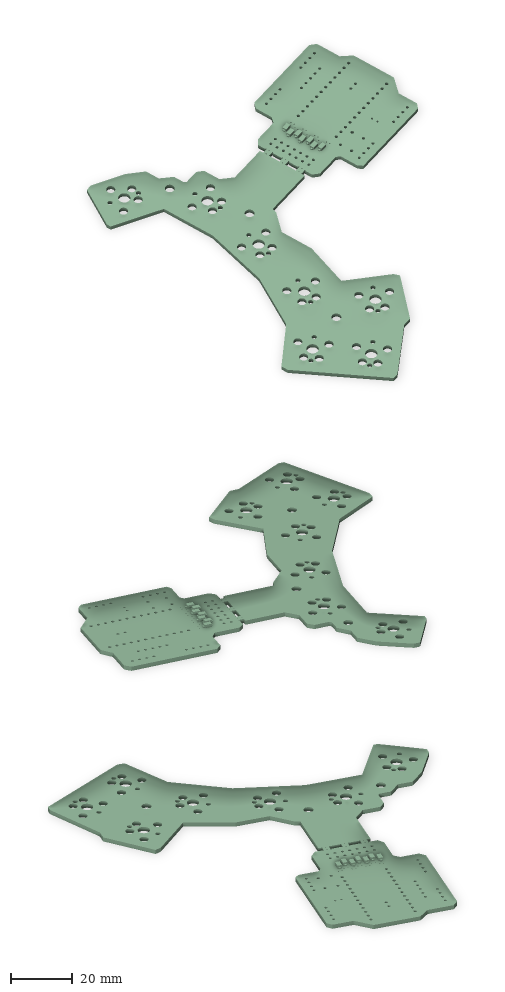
import cadquery as cq
import math


BOARD_THICKNESS = 1.5
BOARD_TOP_Y = 60.8
BOARD_BOTTOM_Y = -60.9
BOARD_END_X = 64.0
CONTROLLER_EDGE_Y = 11.5
NECK_EDGE_Y = 9.9
NECK_LEFT_X = -28.2
NECK_RIGHT_X = -10.2

CONTROLLER_OUTLINE = [
    (-27.4, BOARD_TOP_Y), (-11.3, BOARD_TOP_Y), (-6.0, 56.2), (1.3, 56.2),
    (2.8, 54.7), (2.8, 24.3), (1.3, 23.3), (-5.5, 23.3),
    (-6.7, 22.1), (-6.7, 13.5), (-8.5, CONTROLLER_EDGE_Y), (-30.1, CONTROLLER_EDGE_Y),
    (-31.6, 13.5), (-31.6, 22.1), (-33.5, 23.8), (-39.9, 23.8),
    (-41.7, 25.6), (-41.7, 55.9), (-39.9, 57.9), (-30.8, 57.9),
]

KEY_OUTLINE = [
    (NECK_LEFT_X, NECK_EDGE_Y), (NECK_RIGHT_X, NECK_EDGE_Y), (NECK_RIGHT_X, -7.9), (-8.5, -8.5),
    (-2.0, -14.2), (9.9, -14.2), (25.9, -19.8), (37.9, -7.5),
    (39.9, -6.8), (53.4, -19.8), (53.4, -23.0), (BOARD_END_X, -41.6),
    (BOARD_END_X, -43.6), (34.0, BOARD_BOTTOM_Y), (31.5, BOARD_BOTTOM_Y), (22.1, -45.3),
    (3.6, -34.5), (-19.3, -28.5), (-38.9, -28.5), (-48.5, -44.8),
    (-50.0, -44.8), (-BOARD_END_X, -36.5), (-BOARD_END_X, -34.3), (-57.9, -23.8),
    (-53.0, -19.0), (-47.9, -19.0), (-44.3, -15.5), (-40.3, -15.5),
    (-39.7, -14.8), (-39.7, -9.6), (-37.9, -7.7), (-31.7, -7.7),
    (NECK_LEFT_X, -4.1),
]

TAB_CENTERS_X = [-25.7, -19.2, -12.7]
TAB_WIDTH = 2.3
TAB_OVERLAP = 0.6
BITE_ROWS_Y = [11.6, 10.0]
BITES_PER_ROW = 3
BITE_PITCH = 1.3
SMALL_HOLE = 0.4

CONTROLLER_PINS = 12
CONTROLLER_ROW_LENGTH = 27.9
PITCH = CONTROLLER_ROW_LENGTH / (CONTROLLER_PINS - 1)
CONTROLLER_CENTER_X = -19.2
CONTROLLER_FIRST_Y = 57.2
CONTROLLER_ROW_GAP = 6 * PITCH
CONTROLLER_HOLE = 1.1

HEADER_HOLE = 1.0
HEADER_COLUMNS = [
    (-38.3, 54.1, 4),
    (-38.3, 35.1, 4),
    (-33.0, 49.8, 5),
    (-19.8, 51.3, 2),
    (-0.3, 53.0, 4),
    (-0.3, 33.9, 4),
]
CABLE_COLUMNS = 7
CABLE_ROWS = 2
CABLE_CENTER_X = -19.5
CABLE_FIRST_Y = 16.9

BUTTON_CENTER = (-6.3, 30.6)
BUTTON_SPACING_X = 4.5
BUTTON_SPACING_Y = 6.5
BUTTON_HOLE = 1.09

JUMPER_CENTER = (-5.6, 42.4)
JUMPER_SPACING = 2.2
JUMPER_HOLE = 0.75

DIODE_COUNT = 7
DIODE_ROW_LENGTH = 14.2
DIODE_PITCH = DIODE_ROW_LENGTH / (DIODE_COUNT - 1)
DIODE_ROW_CENTER = (-19.7, 22.1)
DIODE_STAGGER = 1.09
DIODE_WIDTH = 1.5
DIODE_LENGTH = 2.4
DIODE_HEIGHT = 1.2
LEAD_WIDTH = 0.8
LEAD_SPAN = 3.3
LEAD_HEIGHT = 0.5
VIA_SPACING = 1.3
VIA_SHIFT_X = 0.4
VIA_SHIFT_Y = 3.0

SWITCHES = [
    (-52.1, -32.3, 60),
    (-29.5, -17.4, 0),
    (-5.1, -22.8, -15),
    (18.7, -30.5, -30),
    (39.4, -19.7, -45),
    (52.0, -39.4, -60),
    (35.3, -48.9, -60),
]
STEM_HOLE = 4.0
SIDE_PIN_HOLE = 1.7
CONTACT_HOLE = 3.0
SIDE_PIN_POINTS = [(-2 * PITCH, 0), (2 * PITCH, 0)]
CONTACT_POINTS = [
    (-PITCH, 2 * PITCH),
    (-PITCH, -2 * PITCH),
    (1.5 * PITCH, PITCH),
    (1.5 * PITCH, -PITCH),
]

MOUNT_HOLE = 3.2
MOUNT_POINTS = [(-42.5, -20.4), (-15.2, -13.8), (33.7, -33.4)]


def grid(center_x, center_y, columns, rows, step_x, step_y):
    """Points of a rectangular grid about its centre."""
    return [
        (center_x + (i - (columns - 1) / 2) * step_x, center_y + (j - (rows - 1) / 2) * step_y)
        for i in range(columns)
        for j in range(rows)
    ]


def column_down(x, top_y, count):
    """Points one pitch apart going down from the top one."""
    return [(x, top_y - i * PITCH) for i in range(count)]


def turned(points, center_x, center_y, degrees):
    """Points turned about the origin, then moved to a centre."""
    cosine = math.cos(math.radians(degrees))
    sine = math.sin(math.radians(degrees))
    return [
        (center_x + cosine * x - sine * y, center_y + sine * x + cosine * y)
        for x, y in points
    ]


def drill(body, points, diameter):
    """Cut through-holes into the board."""
    holes = cq.Workplane("XY").pushPoints(points).circle(diameter / 2).extrude(BOARD_THICKNESS)
    return body.cut(holes)


def diode_center(index):
    """Centre of a diode; even ones sit high, odd ones low."""
    row_x, row_y = DIODE_ROW_CENTER
    side = 1 if index % 2 == 0 else -1
    x = row_x + (index - (DIODE_COUNT - 1) / 2) * DIODE_PITCH
    return x, row_y + side * DIODE_STAGGER / 2


def make_plate():
    """Both halves and the tabs that join them."""
    controller_half = cq.Workplane("XY").polyline(CONTROLLER_OUTLINE).close().extrude(BOARD_THICKNESS)
    key_half = cq.Workplane("XY").polyline(KEY_OUTLINE).close().extrude(BOARD_THICKNESS)
    tab_length = CONTROLLER_EDGE_Y - NECK_EDGE_Y + 2 * TAB_OVERLAP
    tab_y = (CONTROLLER_EDGE_Y + NECK_EDGE_Y) / 2
    tabs = (
        cq.Workplane("XY")
        .pushPoints([(x, tab_y) for x in TAB_CENTERS_X])
        .rect(TAB_WIDTH, tab_length)
        .extrude(BOARD_THICKNESS)
    )
    return controller_half.union(tabs).union(key_half)


def drill_tabs(body):
    """A row of perforations at both ends of every tab."""
    bites = []
    for x in TAB_CENTERS_X:
        for y in BITE_ROWS_Y:
            bites += grid(x, y, BITES_PER_ROW, 1, BITE_PITCH, 0)
    return drill(body, bites, SMALL_HOLE)


def drill_controller_half(body):
    """Controller, header, cable, button and jumper pin holes, and vias by the diodes."""
    for side in (-1, 1):
        row_x = CONTROLLER_CENTER_X + side * CONTROLLER_ROW_GAP / 2
        body = drill(body, column_down(row_x, CONTROLLER_FIRST_Y, CONTROLLER_PINS), CONTROLLER_HOLE)
    for x, top_y, count in HEADER_COLUMNS:
        body = drill(body, column_down(x, top_y, count), HEADER_HOLE)
    cable_y = CABLE_FIRST_Y - (CABLE_ROWS - 1) * PITCH / 2
    body = drill(body, grid(CABLE_CENTER_X, cable_y, CABLE_COLUMNS, CABLE_ROWS, PITCH, PITCH), HEADER_HOLE)
    body = drill(body, grid(*BUTTON_CENTER, 2, 2, BUTTON_SPACING_X, BUTTON_SPACING_Y), BUTTON_HOLE)
    body = drill(body, grid(*JUMPER_CENTER, 2, 1, JUMPER_SPACING, 0), JUMPER_HOLE)
    for index in range(DIODE_COUNT):
        x, y = diode_center(index)
        body = drill(body, grid(x + VIA_SHIFT_X, y + VIA_SHIFT_Y, 2, 1, VIA_SPACING, 0), SMALL_HOLE)
    return body


def drill_key_half(body):
    """Switch holes and mounting holes."""
    for x, y, degrees in SWITCHES:
        body = drill(body, [(x, y)], STEM_HOLE)
        body = drill(body, turned(SIDE_PIN_POINTS, x, y, degrees), SIDE_PIN_HOLE)
        body = drill(body, turned(CONTACT_POINTS, x, y, degrees), CONTACT_HOLE)
    return drill(body, MOUNT_POINTS, MOUNT_HOLE)


def make_board():
    return drill_key_half(drill_controller_half(drill_tabs(make_plate()))).solids()


def make_diode(index):
    """A block with a low lead sticking out of both ends."""
    x, y = diode_center(index)
    seat = cq.Workplane("XY", origin=(x, y, BOARD_THICKNESS))
    block = seat.rect(DIODE_WIDTH, DIODE_LENGTH).extrude(DIODE_HEIGHT)
    leads = seat.rect(LEAD_WIDTH, LEAD_SPAN).extrude(LEAD_HEIGHT)
    return block.union(leads).solids()


board = make_board()
diodes = [make_diode(index) for index in range(DIODE_COUNT)]

result = cq.Compound.makeCompound([board.val(), *[diode.val() for diode in diodes]])